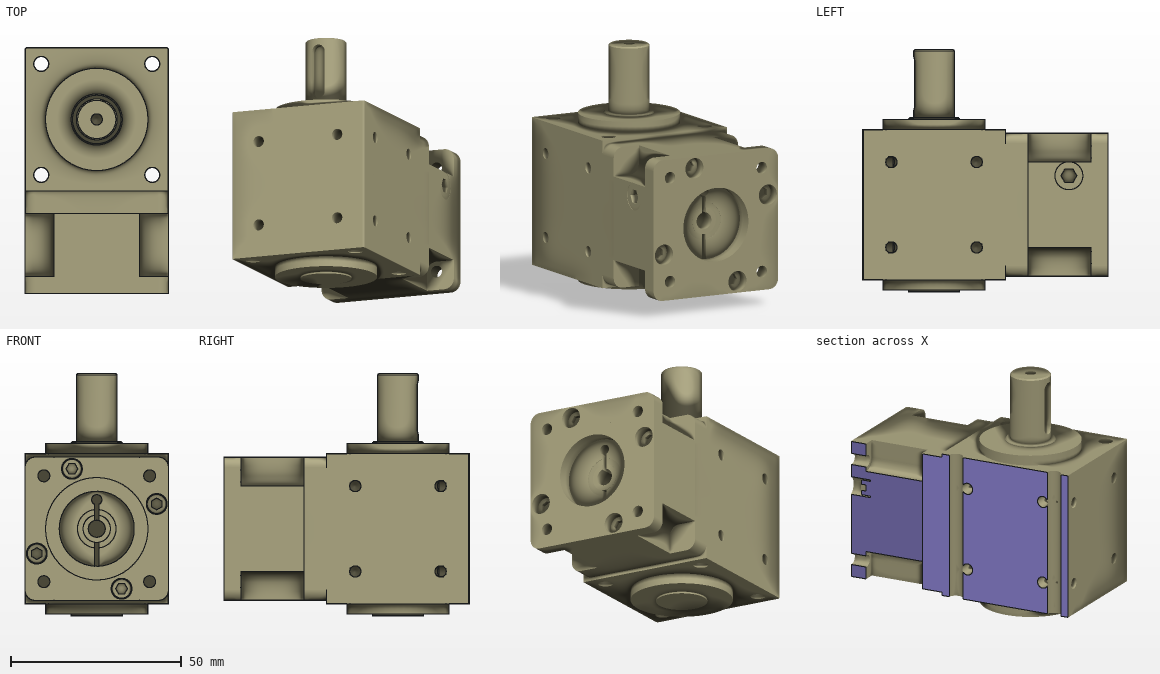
import cadquery as cq
import math


width = 42.0
housing_height = 44.0
edge_chamfer = 0.4
flange_length = 6.5
corner_radius = 3.0
pilot_diameter = 30.0
pilot_height = 3.0
shoulder_diameter = 15.0
shoulder_height = 0.5
shoulder_chamfer = 0.4
mount_hole_diameter = 4.3
mount_circle_diameter = 46.0
mount_pitch = mount_circle_diameter / math.sqrt(2)
side_hole_diameter = 3.3
side_hole_depth = 9.0
side_hole_pitch = 25.0
drill_tip_angle = 118.0

shaft_diameter = 12.0
shaft_length = 20.0
shaft_chamfer = 0.4
key_width = 4.0
key_length = 16.0
key_depth = 2.5
center_hole_diameter = 3.3
center_hole_depth = 10.0

adapter_length = 23.5
adapter_width = 42.1
plate_thickness = 5.0
notch_size = 8.5
notch_fillet = 3.0
motor_hole_diameter = 3.5
motor_hole_pitch = 31.0
bore_diameter = 22.0
bore_depth = 5.0
screw_circle_diameter = 38.0
screw_first_angle = 67.5
screw_count = 4
screw_recess_diameter = 6.1
screw_recess_depth = 3.2
screw_gap_depth = 3.0
screw_head_diameter = 5.6
screw_hex_size = 3.0
screw_hex_depth = 1.5
plug_diameter = 8.2
plug_recess = 0.1
plug_setback = 11.5
plug_hex_size = 4.0
plug_hex_depth = 3.0

ring_length = 3.0

hub_diameter = 27.0
hub_setback = 7.0
hub_recess_diameter = 11.3
hub_recess_depth = 0.1
bush_diameter = 8.0
bush_bore_diameter = 5.0
bush_bore_depth = 12.0
slit_width = 1.3
slit_depth = 10.0
slit_end_diameter = 3.0
slit_end_height = 8.5

half_width = width / 2
housing_top = housing_height / 2
pilot_top = housing_top + pilot_height
shoulder_top = pilot_top + shoulder_height
shaft_top = shoulder_top + shaft_length
flange_front = -half_width - flange_length
adapter_front = flange_front - adapter_length
hub_front = adapter_front + hub_setback


def facing_front(y):
    """Workplane at the given Y whose extrusions run towards +Y; local x is -X, local y is Z."""
    return cq.Workplane(cq.Plane(origin=(0, y, 0), xDir=(-1, 0, 0), normal=(0, 1, 0)))


def front_cylinder(diameter, y, length):
    return facing_front(y).circle(diameter / 2).extrude(length)


def rounded_plate(plate_width, y, length):
    return facing_front(y).rect(plate_width, width).extrude(length).edges("|Y").fillet(corner_radius)


def hexagon_points(size, turn):
    """Corners of a hexagon of the given width across flats, first corner at the turn angle."""
    corner = size / 2 / math.cos(math.radians(30))
    angles = [math.radians(turn + 60 * i) for i in range(6)]
    return [(corner * math.cos(a), corner * math.sin(a)) for a in angles]


def drilled_hole(diameter, depth, start, direction):
    """Blind hole with a conical drill tip."""
    radius = diameter / 2
    tip = radius / math.tan(math.radians(drill_tip_angle / 2))
    point, axis = cq.Vector(*start), cq.Vector(*direction)
    barrel = cq.Solid.makeCylinder(radius, depth, point, axis)
    cone = cq.Solid.makeCone(radius, 0, tip, point + axis * depth, axis)
    return cq.Workplane(barrel.fuse(cone))


def make_output_shaft():
    shaft = (
        cq.Workplane("XY").workplane(offset=pilot_top)
        .circle(shaft_diameter / 2).extrude(shaft_top - pilot_top)
        .faces(">Z").chamfer(shaft_chamfer)
    )
    key_floor = shaft_diameter / 2 - key_depth
    keyway = (
        facing_front(key_floor).center(0, shoulder_top + shaft_length / 2)
        .slot2D(key_length, key_width, 90).extrude(shaft_diameter)
    )
    center_hole = drilled_hole(center_hole_diameter, center_hole_depth, (0, 0, shaft_top), (0, 0, -1))
    return shaft.cut(keyway).cut(center_hole)


def make_clamp_hub():
    hub = front_cylinder(hub_diameter, hub_front, flange_front - hub_front)
    hub = hub.cut(front_cylinder(hub_recess_diameter, hub_front, hub_recess_depth))
    slit_bottom = -hub_diameter / 2
    slit = (
        facing_front(hub_front).center(0, (slit_end_height + slit_bottom) / 2)
        .rect(slit_width, slit_end_height - slit_bottom).extrude(slit_depth)
    )
    slit_end = (
        facing_front(hub_front).center(0, slit_end_height)
        .circle(slit_end_diameter / 2).extrude(slit_depth)
    )
    hub = hub.cut(slit).cut(slit_end)
    bush = front_cylinder(bush_diameter, hub_front, flange_front - hub_front)
    bush_slit = (
        facing_front(hub_front).center(0, bush_diameter / 4)
        .rect(slit_width, bush_diameter / 2).extrude(slit_depth)
    )
    bore = front_cylinder(bush_bore_diameter, hub_front, bush_bore_depth)
    return hub.union(bush.cut(bush_slit)).cut(bore)


def make_housing():
    block = (
        cq.Workplane("XY").box(width, width, housing_height)
        .edges("|Z and >Y").chamfer(edge_chamfer)
    )
    body = block.union(rounded_plate(width, flange_front, flange_length))
    pilots = cq.Workplane("XY").circle(pilot_diameter / 2).extrude(pilot_top, both=True)
    shoulders = (
        cq.Workplane("XY").circle(shoulder_diameter / 2).extrude(shoulder_top, both=True)
        .faces(">Z").chamfer(shoulder_chamfer)
    )
    body = body.union(pilots).union(shoulders)
    mount_holes = (
        cq.Workplane("XY").rect(mount_pitch, mount_pitch, forConstruction=True).vertices()
        .circle(mount_hole_diameter / 2).extrude(housing_height, both=True)
    )
    body = body.cut(mount_holes)
    for offset in (-side_hole_pitch / 2, side_hole_pitch / 2):
        for z in (-side_hole_pitch / 2, side_hole_pitch / 2):
            for start, inward in (
                ((-half_width, offset, z), (1, 0, 0)),
                ((half_width, offset, z), (-1, 0, 0)),
                ((offset, half_width, z), (0, -1, 0)),
            ):
                body = body.cut(drilled_hole(side_hole_diameter, side_hole_depth, start, inward))
    return body.union(make_output_shaft()).union(make_clamp_hub())


def cut_screw(body, angle):
    """Recess with a sunk socket-head screw, its head standing free by a thin ring-shaped gap."""
    radius = screw_circle_diameter / 2
    x = radius * math.cos(math.radians(angle))
    z = radius * math.sin(math.radians(angle))
    head_face = adapter_front + screw_recess_depth
    recess = (
        facing_front(adapter_front).center(x, z)
        .circle(screw_recess_diameter / 2).extrude(screw_recess_depth)
    )
    gap = (
        facing_front(head_face).center(x, z)
        .circle(screw_recess_diameter / 2).circle(screw_head_diameter / 2).extrude(screw_gap_depth)
    )
    turn = angle - screw_first_angle
    socket = (
        facing_front(head_face).center(x, z)
        .polyline(hexagon_points(screw_hex_size, turn)).close().extrude(screw_hex_depth)
    )
    return body.cut(recess).cut(gap).cut(socket)


def make_adapter():
    notch_front = adapter_front + plate_thickness
    notch_length = adapter_length - plate_thickness
    arm_width = width - 2 * notch_size
    core_size = arm_width + notch_fillet
    cross = (
        facing_front(notch_front).rect(adapter_width, arm_width).extrude(notch_length)
        .union(facing_front(notch_front).rect(arm_width, width).extrude(notch_length))
    )
    inner_corners = cq.selectors.BoxSelector(
        (-core_size / 2, adapter_front, -core_size / 2), (core_size / 2, flange_front, core_size / 2)
    )
    cross = cross.edges("|Y").edges(inner_corners).fillet(notch_fillet)
    body = rounded_plate(adapter_width, adapter_front, plate_thickness).union(cross)
    cavity_length = adapter_length - bore_depth
    body = body.cut(front_cylinder(pilot_diameter, adapter_front, ring_length))
    body = body.cut(front_cylinder(bore_diameter, adapter_front, bore_depth))
    body = body.cut(front_cylinder(hub_diameter, adapter_front + bore_depth, cavity_length))
    motor_holes = (
        facing_front(adapter_front)
        .rect(motor_hole_pitch, motor_hole_pitch, forConstruction=True).vertices()
        .circle(motor_hole_diameter / 2).extrude(plate_thickness)
    )
    body = body.cut(motor_holes)
    for i in range(screw_count):
        body = cut_screw(body, screw_first_angle + 360 / screw_count * i)
    return cut_plug(body)


def cut_plug(body):
    """Socket plug of the clamp screw access hole, sunk just below the -X side."""
    plug_face = cq.Plane(
        origin=(-adapter_width / 2 + plug_recess, adapter_front + plug_setback, slit_end_height),
        xDir=(0, 1, 0), normal=(1, 0, 0),
    )
    recess = cq.Workplane(plug_face).circle(plug_diameter / 2).extrude(-plug_recess)
    socket = cq.Workplane(plug_face).polyline(hexagon_points(plug_hex_size, 0)).close().extrude(plug_hex_depth)
    return body.cut(recess).cut(socket)


def make_centring_ring():
    return (
        facing_front(adapter_front)
        .circle(pilot_diameter / 2).circle(bore_diameter / 2).extrude(ring_length)
    )


housing = make_housing()
adapter = make_adapter()
centring_ring = make_centring_ring()
result = cq.Compound.makeCompound([housing.val(), adapter.val(), centring_ring.val()])